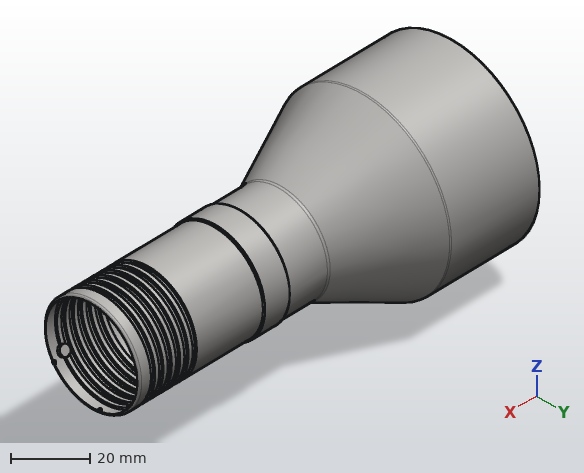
import cadquery as cq
import math

overall_length = 130.4
head_diameter = 62.0
head_radius = head_diameter / 2
head_length = 32.2
head_edge_chamfer = 0.3
shoulder_round = 1.3

lens_radius = 27.8
lens_rim_chamfer = 0.4
lens_recess = 0.7

cone_end = 62.1
barrel_radius = 17.1
pin_height = 0.4
barrel_end = overall_length - pin_height
barrel_end_round = 0.8
cone_blend = 2.0

collar_start = 76.0
collar_length = 9.7
collar_radius = 17.5
collar_chamfer = 0.4

groove_count = 6
groove_start = 109.4
groove_pitch = 3.0
groove_width = groove_pitch / 2
groove_depth = 0.72

screw_angle = 210
screw_diameter = 3.5
screw_depth = 1.0
screw_x = 125.5

pin_circle_radius = 15.8
pin_angles = (214, 282)
pin_diameter = 1.0


def disc(x_start, length, radius):
    """Cylinder along +X, centred on the body axis."""
    return cq.Workplane("YZ").workplane(offset=x_start).circle(radius).extrude(length)


def revolve_about_x(profile):
    """Solid of revolution from (x, radius) points."""
    return cq.Workplane("XY").polyline(profile).close().revolve(360, (0, 0, 0), (1, 0, 0))


def edge_at(x, radius):
    """Selector for the circular edge of the given radius at station x."""
    margin = 0.1
    reach = radius + margin
    return cq.selectors.BoxSelector(
        (x - margin, -reach, -reach), (x + margin, reach, reach), boundingbox=True
    )


def make_lens_recess():
    rim_radius = lens_radius + lens_rim_chamfer
    profile = [
        (0, 0),
        (0, rim_radius),
        (lens_rim_chamfer, lens_radius),
        (lens_recess, lens_radius),
        (lens_recess, 0),
    ]
    return revolve_about_x(profile)


def make_body():
    profile = [
        (0, 0),
        (0, head_radius),
        (head_length, head_radius),
        (cone_end, barrel_radius),
        (barrel_end, barrel_radius),
        (barrel_end, 0),
    ]
    body = revolve_about_x(profile)
    body = body.edges(edge_at(cone_end, barrel_radius)).fillet(cone_blend)
    body = body.edges(edge_at(head_length, head_radius)).fillet(shoulder_round)
    body = body.faces("<X").edges().chamfer(head_edge_chamfer)
    return body.faces(">X").edges().fillet(barrel_end_round)


def make_collar():
    collar = disc(collar_start, collar_length, collar_radius)
    return collar.edges().chamfer(collar_chamfer)


def make_groove(index):
    start = groove_start + index * groove_pitch
    floor_radius = barrel_radius - groove_depth
    return disc(start, groove_width, head_radius).cut(disc(start, groove_width, floor_radius))


def make_screw_seat():
    seat = (
        cq.Workplane("XY")
        .workplane(offset=barrel_radius - screw_depth)
        .center(screw_x, 0)
        .circle(screw_diameter / 2)
        .extrude(2 * screw_depth)
    )
    return seat.rotate((0, 0, 0), (1, 0, 0), screw_angle - 90)


def make_pin(angle):
    y = pin_circle_radius * math.cos(math.radians(angle))
    z = pin_circle_radius * math.sin(math.radians(angle))
    pin_length = 2 * pin_height
    return disc(barrel_end - pin_height, pin_length, pin_diameter / 2).translate((0, y, z))


result = make_body().cut(make_lens_recess()).union(make_collar())
for index in range(groove_count):
    result = result.cut(make_groove(index))
result = result.cut(make_screw_seat())
for angle in pin_angles:
    result = result.union(make_pin(angle))